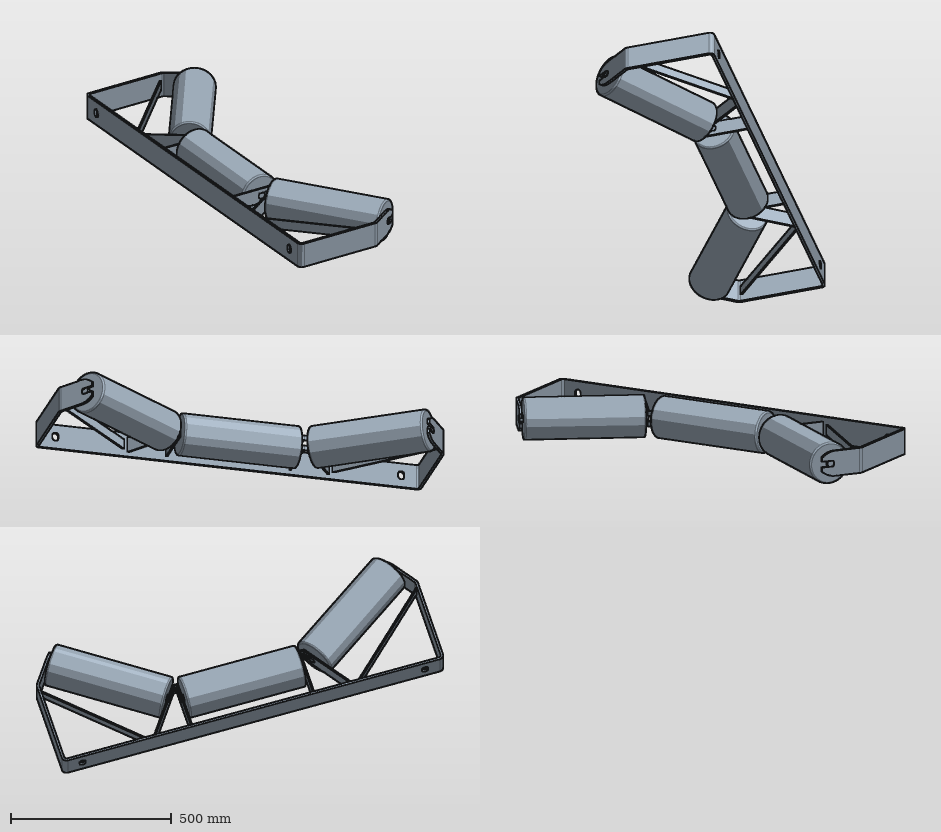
import cadquery as cq
import math

frame_length = 1240.0
frame_width = 80.0
bar_thickness = 8.0
corner_radius = 15.0
upright_height = 283.0
arm_bend_radius = 20.0
arm_length = 133.0

mount_hole_spacing = 1114.0
mount_hole_width = 20.0
mount_hole_height = 27.0

roller_diameter = 133.0
roller_length = 380.0
roller_edge_fillet = 5.0
shaft_diameter = 22.0
round_stub_length = 5.0
shaft_flat_width = 19.0
end_gap = 6.0
centre_roller_height = 126.0
trough_angle = 35.0
side_roller_x = 394.0
side_roller_y = 250.0

plate_thickness = 5.0
bracket_top = 166.0
bracket_bend_radius = 5.0
strut_top_y = 275.0
strut_foot_x = 335.0
bracket_width = 50.0
strut_width = 32.0

arm_tip_round_radius = 62.0
arm_tip_round_length = 43.0

half_length = frame_length / 2
tilt = math.radians(trough_angle)
sin_tilt = math.sin(tilt)
cos_tilt = math.cos(tilt)
shaft_length = roller_length + 2 * (end_gap + plate_thickness)
plate_offset = roller_length / 2 + end_gap
slot_depth = roller_diameter
slot_reach = 2 * bar_thickness

left_plane = cq.Plane((-side_roller_x, side_roller_y, 0), xDir=(cos_tilt, -sin_tilt, 0))
centre_plane = cq.Plane((0, centre_roller_height, 0), xDir=(1, 0, 0))
right_plane = cq.Plane((side_roller_x, side_roller_y, 0), xDir=(cos_tilt, sin_tilt, 0))
roller_planes = [left_plane, centre_plane, right_plane]


def on_both_sides(left_part):
    """Join a left-hand part with its mirror image across the YZ plane."""
    return left_part.union(left_part.mirror("YZ"))


def extrude_outline(points, width):
    """Extrude a closed XY outline, centred on Z = 0."""
    return cq.Workplane("XY", origin=(0, 0, -width / 2)).polyline(points).close().extrude(width)


def round_bend(body, point, radius):
    """Round the edge along Z that passes through an XY point."""
    return body.edges(cq.NearestToPointSelector((*point, 0))).fillet(radius)


def make_flatted_rod(length):
    """Round rod along +X with two flats facing +Z and -Z."""
    rod = cq.Workplane("YZ").circle(shaft_diameter / 2).extrude(length)
    slab = cq.Workplane("YZ").rect(shaft_diameter, shaft_flat_width).extrude(length)
    return rod.intersect(slab)


def make_roller(plane):
    """A drum with rounded rims and a shaft with flatted ends, along the plane's X axis."""
    drum = (
        cq.Workplane("YZ", origin=(-roller_length / 2, 0, 0))
        .circle(roller_diameter / 2)
        .extrude(roller_length)
        .edges()
        .fillet(roller_edge_fillet)
    )
    round_length = roller_length + 2 * round_stub_length
    round_shaft = (
        cq.Workplane("YZ", origin=(-round_length / 2, 0, 0))
        .circle(shaft_diameter / 2)
        .extrude(round_length)
    )
    flatted_shaft = make_flatted_rod(shaft_length).translate((-shaft_length / 2, 0, 0))
    roller = drum.union(round_shaft).union(flatted_shaft)
    return cq.Workplane(roller.val().moved(cq.Location(plane)))


def make_left_bar():
    """Left half of the bent bar: base, upright and slanted arm."""
    corner = (-half_length, 0)
    bend = (-half_length, upright_height)
    tip = (bend[0] + arm_length * sin_tilt, bend[1] + arm_length * cos_tilt)
    inner_tip = (tip[0] + bar_thickness * cos_tilt, tip[1] - bar_thickness * sin_tilt)
    inner_bend = (bend[0] + bar_thickness, bend[1] - bar_thickness * math.tan(tilt / 2))
    inner_corner = (corner[0] + bar_thickness, bar_thickness)
    bar = extrude_outline(
        [(0, 0), corner, bend, tip, inner_tip, inner_bend, inner_corner, (0, bar_thickness)],
        frame_width,
    )
    bar = round_bend(bar, corner, corner_radius)
    bar = round_bend(bar, inner_corner, corner_radius - bar_thickness)
    bar = round_bend(bar, bend, arm_bend_radius)
    bar = round_bend(bar, inner_bend, arm_bend_radius - bar_thickness)

    return bar.cut(make_tip_cutter(tip))


def make_tip_cutter(tip):
    """Stock outside the two arcs that narrow the arm towards its tip."""
    half_width = frame_width / 2
    arc_centre = half_width - arm_tip_round_radius
    mid_length = arm_tip_round_length / 2

    def arc_width(distance):
        return arc_centre + math.sqrt(arm_tip_round_radius**2 - distance**2)

    arm_plane = cq.Plane((*tip, 0), xDir=(0, 0, 1), normal=(-cos_tilt, sin_tilt, 0))
    corner = (
        cq.Workplane(arm_plane)
        .moveTo(half_width, -arm_tip_round_length)
        .threePointArc(
            (arc_width(mid_length), -mid_length),
            (arc_width(arm_tip_round_length), 0),
        )
        .lineTo(half_width, 0)
        .close()
        .extrude(bar_thickness, both=True)
    )
    return corner.union(corner.mirror("XY"))


def make_left_bracket():
    """Bent plate carrying the inner end of a side roller and one end of the centre roller."""
    post_inner_x = -plate_offset
    post_outer_x = post_inner_x - plate_thickness
    near_x = -side_roller_x + plate_offset * cos_tilt
    near_y = side_roller_y - plate_offset * sin_tilt

    def slant_x(y, depth):
        return near_x + depth / cos_tilt + (y - near_y) * math.tan(tilt)

    foot_y = bar_thickness
    under_top = bracket_top - plate_thickness
    outer_top = (slant_x(bracket_top, 0), bracket_top)
    inner_top = (post_inner_x, bracket_top)
    bracket = extrude_outline(
        [
            (slant_x(foot_y, 0), foot_y),
            outer_top,
            inner_top,
            (post_inner_x, foot_y),
            (post_outer_x, foot_y),
            (post_outer_x, under_top),
            (slant_x(under_top, plate_thickness), under_top),
            (slant_x(foot_y, plate_thickness), foot_y),
        ],
        bracket_width,
    )
    return round_bend(bracket, inner_top, bracket_bend_radius)


def make_left_strut():
    """Flat strip bracing the upright against the base."""
    upright_x = -half_length + bar_thickness
    rise = strut_top_y - bar_thickness
    run = -strut_foot_x - upright_x
    length = math.hypot(rise, run)
    return extrude_outline(
        [
            (upright_x, strut_top_y),
            (-strut_foot_x, bar_thickness),
            (-strut_foot_x - plate_thickness * length / rise, bar_thickness),
            (upright_x, strut_top_y - plate_thickness * length / run),
        ],
        strut_width,
    )


def cut_mount_holes(frame):
    """Two elongated holes through the base, long along Z."""
    holes = (
        cq.Workplane("XZ")
        .pushPoints([(-mount_hole_spacing / 2, 0), (mount_hole_spacing / 2, 0)])
        .slot2D(mount_hole_height, mount_hole_width, 90)
        .extrude(-bar_thickness)
    )
    return frame.cut(holes)


def cut_shaft_slots(frame):
    """U-shaped slots that hold the shaft ends, open away from the base."""
    for plane in roller_planes:
        for end in (-1, 1):
            seat = make_flatted_rod(slot_reach)
            throat = (
                cq.Workplane("YZ")
                .center(slot_depth / 2, 0)
                .rect(slot_depth, shaft_flat_width)
                .extrude(slot_reach)
            )
            start = roller_length / 2 if end > 0 else -roller_length / 2 - slot_reach
            slot = seat.union(throat).translate((start, 0, 0))
            frame = frame.cut(cq.Workplane(slot.val().moved(cq.Location(plane))))
    return frame


def make_frame():
    half = make_left_bar().union(make_left_bracket()).union(make_left_strut())
    return cut_shaft_slots(cut_mount_holes(on_both_sides(half)))


rollers = [make_roller(plane) for plane in roller_planes]
frame = make_frame()

result = cq.Compound.makeCompound([frame.val(), *[roller.val() for roller in rollers]])